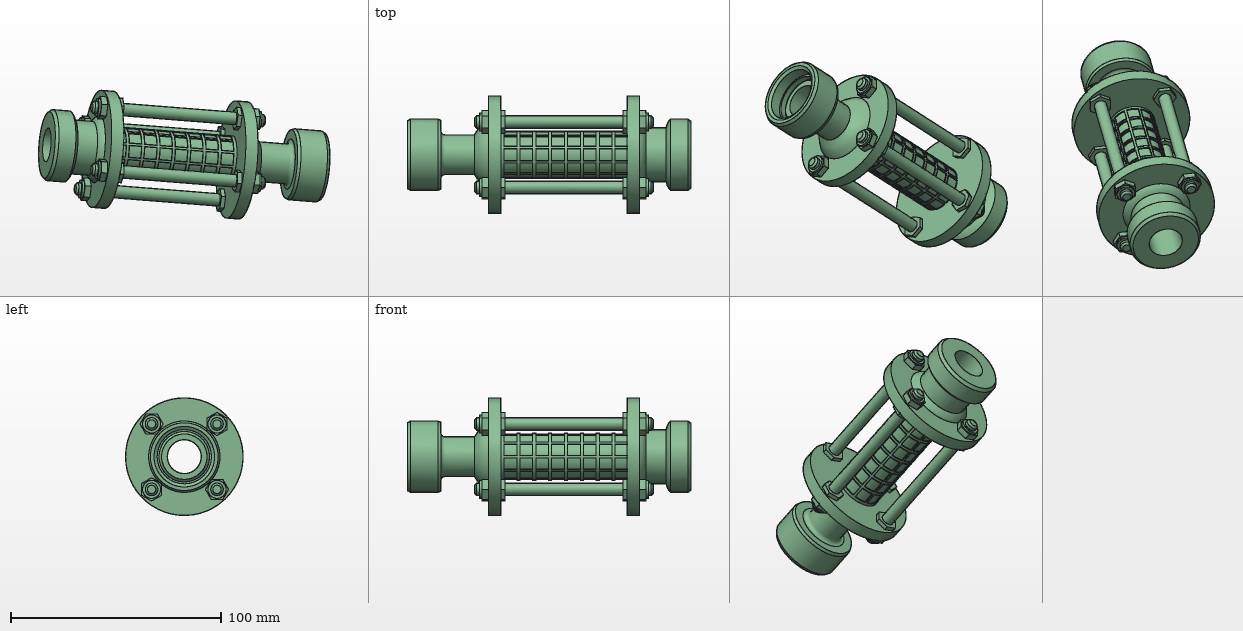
import cadquery as cq
import math


overall_length = 135.0
left_end_x = -overall_length / 2
right_end_x = overall_length / 2
flange_thickness = 6.0
flange_gap = 60.0
left_flange_inner_x = -23.0
left_flange_outer_x = left_flange_inner_x - flange_thickness
right_flange_inner_x = left_flange_inner_x + flange_gap
right_flange_outer_x = right_flange_inner_x + flange_thickness

flange_radius = 28.0
bore_radius = 8.0
end_radius = 17.0
flange_neck_radius = 16.2
end_chamfer_length = 1.5
end_chamfer_height = 0.9

sleeve_length = 16.0
sleeve_back_x = left_end_x + sleeve_length
sleeve_back_chamfer_height = 0.6
mouth_radius = 14.4
mouth_chamfer_length = 1.0
socket_radius = 12.9
socket_depth = 6.6

collar_radius = 12.0
collar_front_depth = 8.5
collar_front_x = left_end_x + collar_front_depth
collar_chamfer = 1.2
pipe_radius = 9.5
pipe_fillet_radius = 1.9
left_bell_length = 6.6
left_bell_x = left_flange_outer_x - left_bell_length
left_bell_bulge = 0.7

right_neck_radius = 12.9
right_bell_length = 3.0
right_bell_bulge = 0.3
head_x = 55.6
head_shoulder_length = 2.1
head_shoulder_bulge = 0.4
right_chamfer_height = 1.2

glass_radius = 10.75
guard_radius = 11.25
glass_recess_depth = 3.0
guard_window_count = 8
guard_window_length = 6.05
guard_ring_width = 1.5
guard_pitch = guard_window_length + guard_ring_width
first_window_x = left_flange_inner_x + guard_ring_width
guard_bar_count = 10
guard_bar_width = 1.2

rod_count = 4
rod_circle_radius = 22.0
first_rod_angle = math.radians(45)
first_rod_y = rod_circle_radius * math.cos(first_rod_angle)
first_rod_z = rod_circle_radius * math.sin(first_rod_angle)
rod_radius = 3.0
rod_overhang = 6.5
rod_tip_chamfer = 1.0
hex_corner_diameter = 11.0
outer_hex_thickness = 3.0
inner_hex_thickness = 2.0
nut_collar_radius = 4.3
nut_collar_thickness = 1.1


def cylinder(start_x, end_x, radius):
    """Solid cylinder on the flow axis."""
    return cq.Workplane("YZ", origin=(start_x, 0, 0)).circle(radius).extrude(end_x - start_x)


def turned(profile):
    """Revolve an outline drawn as (x, radius) about the flow axis."""
    return profile.close().revolve(360, (0, 0, 0), (1, 0, 0))


def bulged_midpoint(start, end, bulge):
    """Midpoint of two (x, radius) points, moved outwards at right angles to the line between them."""
    run = end[0] - start[0]
    rise = end[1] - start[1]
    length = math.hypot(run, rise)
    middle_x = (start[0] + end[0]) / 2
    middle_radius = (start[1] + end[1]) / 2
    return (middle_x - bulge * rise / length, middle_radius + bulge * run / length)


def in_rod_positions(shape):
    """Copies of a shape built on the first rod axis, turned about the flow axis to every rod."""
    step = 360.0 / rod_count
    return [shape.rotate((0, 0, 0), (1, 0, 0), index * step) for index in range(rod_count)]


def rod_section(start_x, end_x, radius):
    """Cylinder on the first rod axis."""
    return cylinder(start_x, end_x, radius).translate((0, first_rod_y, first_rod_z))


def with_rod_holes(fitting):
    """The fitting with a clear passage for each tie rod through its flange."""
    hole = rod_section(left_flange_outer_x, right_flange_outer_x, rod_radius)
    for hole_copy in in_rod_positions(hole):
        fitting = fitting.cut(hole_copy)
    return fitting


def rod_hexagon(start_x, end_x):
    """Hexagon on the first rod axis, with two corners level with it."""
    hexagon = cq.Workplane("YZ", origin=(start_x, first_rod_y, first_rod_z)).polygon(6, hex_corner_diameter)
    return hexagon.extrude(end_x - start_x)


def make_sleeve():
    return turned(
        cq.Workplane("XY")
        .moveTo(left_end_x, mouth_radius)
        .lineTo(left_end_x, end_radius - end_chamfer_height)
        .lineTo(left_end_x + end_chamfer_length, end_radius)
        .lineTo(sleeve_back_x - end_chamfer_length, end_radius)
        .lineTo(sleeve_back_x, end_radius - sleeve_back_chamfer_height)
        .lineTo(sleeve_back_x, collar_radius)
        .lineTo(left_end_x + socket_depth, collar_radius)
        .lineTo(left_end_x + socket_depth, socket_radius)
        .lineTo(left_end_x + mouth_chamfer_length, socket_radius)
    )


def make_left_fitting():
    bell_start = (left_bell_x, pipe_radius)
    bell_end = (left_flange_outer_x, flange_neck_radius)
    fillet_middle_offset = pipe_fillet_radius * (1 - math.sqrt(0.5))
    body = turned(
        cq.Workplane("XY")
        .moveTo(collar_front_x, 0)
        .lineTo(collar_front_x, collar_radius - collar_chamfer)
        .lineTo(collar_front_x + collar_chamfer, collar_radius)
        .lineTo(sleeve_back_x, collar_radius)
        .lineTo(sleeve_back_x, pipe_radius + pipe_fillet_radius)
        .threePointArc(
            (sleeve_back_x + fillet_middle_offset, pipe_radius + fillet_middle_offset),
            (sleeve_back_x + pipe_fillet_radius, pipe_radius),
        )
        .lineTo(*bell_start)
        .threePointArc(bulged_midpoint(bell_start, bell_end, left_bell_bulge), bell_end)
        .lineTo(left_flange_outer_x, flange_radius)
        .lineTo(left_flange_inner_x, flange_radius)
        .lineTo(left_flange_inner_x, 0)
    )
    bore = cylinder(collar_front_x, left_flange_inner_x, bore_radius)
    recess = cylinder(left_flange_inner_x - glass_recess_depth, left_flange_inner_x, guard_radius)
    return with_rod_holes(body.cut(bore).cut(recess))


def make_right_fitting():
    bell_start = (right_flange_outer_x, flange_neck_radius)
    bell_end = (right_flange_outer_x + right_bell_length, right_neck_radius)
    shoulder_start = (head_x, right_neck_radius)
    shoulder_end = (head_x + head_shoulder_length, end_radius)
    body = turned(
        cq.Workplane("XY")
        .moveTo(right_flange_inner_x, 0)
        .lineTo(right_flange_inner_x, flange_radius)
        .lineTo(right_flange_outer_x, flange_radius)
        .lineTo(*bell_start)
        .threePointArc(bulged_midpoint(bell_start, bell_end, right_bell_bulge), bell_end)
        .lineTo(*shoulder_start)
        .threePointArc(bulged_midpoint(shoulder_start, shoulder_end, head_shoulder_bulge), shoulder_end)
        .lineTo(right_end_x - end_chamfer_length, end_radius)
        .lineTo(right_end_x, end_radius - right_chamfer_height)
        .lineTo(right_end_x, 0)
    )
    bore = cylinder(right_flange_inner_x, right_end_x, bore_radius)
    recess = cylinder(right_flange_inner_x, right_flange_inner_x + glass_recess_depth, guard_radius)
    return with_rod_holes(body.cut(bore).cut(recess))


def make_glass():
    start_x = left_flange_inner_x - glass_recess_depth
    end_x = right_flange_inner_x + glass_recess_depth
    return cylinder(start_x, end_x, glass_radius).cut(cylinder(start_x, end_x, bore_radius))


def make_guard():
    start_x = left_flange_inner_x - glass_recess_depth
    end_x = right_flange_inner_x + glass_recess_depth
    shell = cylinder(start_x, end_x, guard_radius).cut(cylinder(start_x, end_x, glass_radius))

    slab = cq.Workplane("YZ", origin=(start_x, 0, 0)).rect(2 * flange_radius, guard_bar_width)
    slab = slab.extrude(end_x - start_x)
    slabs = slab
    for index in range(1, guard_bar_count // 2):
        slabs = slabs.union(slab.rotate((0, 0, 0), (1, 0, 0), index * 360.0 / guard_bar_count))

    guard = shell
    for index in range(guard_window_count):
        window_x = first_window_x + index * guard_pitch
        window_band = cylinder(window_x, window_x + guard_window_length, flange_radius)
        guard = guard.cut(window_band.cut(slabs))
    return guard


def make_tie_rod():
    start_x = left_flange_outer_x - rod_overhang
    end_x = right_flange_outer_x + rod_overhang
    left_nut_x = left_flange_outer_x - outer_hex_thickness
    right_nut_x = right_flange_outer_x + outer_hex_thickness
    rod = rod_section(start_x, end_x, rod_radius).faces("<X or >X").chamfer(rod_tip_chamfer)
    rod = rod.union(rod_hexagon(left_nut_x, left_flange_outer_x))
    rod = rod.union(rod_hexagon(right_flange_outer_x, right_nut_x))
    rod = rod.union(rod_hexagon(left_flange_inner_x, left_flange_inner_x + inner_hex_thickness))
    rod = rod.union(rod_hexagon(right_flange_inner_x - inner_hex_thickness, right_flange_inner_x))
    rod = rod.union(rod_section(left_nut_x - nut_collar_thickness, left_nut_x, nut_collar_radius))
    return rod.union(rod_section(right_nut_x, right_nut_x + nut_collar_thickness, nut_collar_radius))


sleeve = make_sleeve()
left_fitting = make_left_fitting()
right_fitting = make_right_fitting()
glass = make_glass()
guard = make_guard()
tie_rods = in_rod_positions(make_tie_rod())

result = cq.Compound.makeCompound(
    [sleeve.val(), left_fitting.val(), right_fitting.val(), glass.val(), guard.val()]
    + [tie_rod.val() for tie_rod in tie_rods]
)